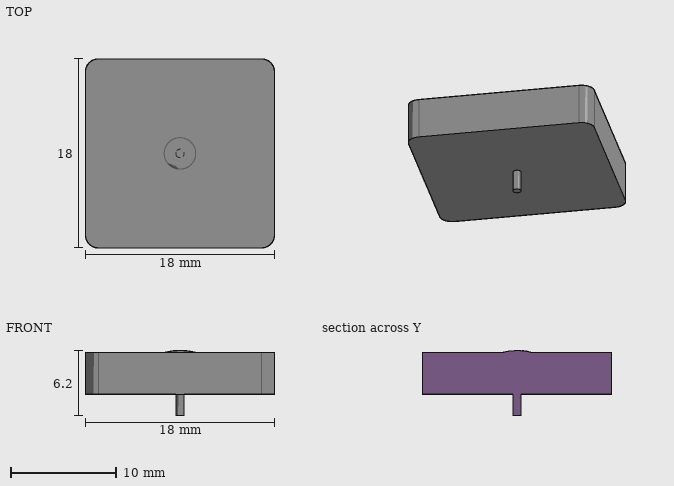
import cadquery as cq

body_side = 18.0
body_height = 4.0
corner_radius = 1.25

head_diameter = 3.0
head_height = 0.2

pin_diameter = 0.8
pin_length = 2.0


def make_body():
    block = cq.Workplane("XY").box(body_side, body_side, body_height, centered=(True, True, False))
    return block.edges("|Z").fillet(corner_radius)


def make_head():
    """Spherical cap, revolved from a half profile about the Z axis."""
    head_radius = head_diameter / 2
    sphere_radius = (head_radius**2 + head_height**2) / (2 * head_height)
    apex_height = body_height + head_height
    sphere_center_height = apex_height - sphere_radius
    mid_radius = head_radius / 2
    mid_height = sphere_center_height + (sphere_radius**2 - mid_radius**2) ** 0.5
    return (
        cq.Workplane("XZ")
        .moveTo(0, body_height)
        .lineTo(head_radius, body_height)
        .threePointArc((mid_radius, mid_height), (0, apex_height))
        .close()
        .revolve(360, (0, 0, 0), (0, 1, 0))
    )


def make_pin():
    return cq.Workplane("XY").circle(pin_diameter / 2).extrude(-pin_length)


result = make_body().union(make_head()).union(make_pin())